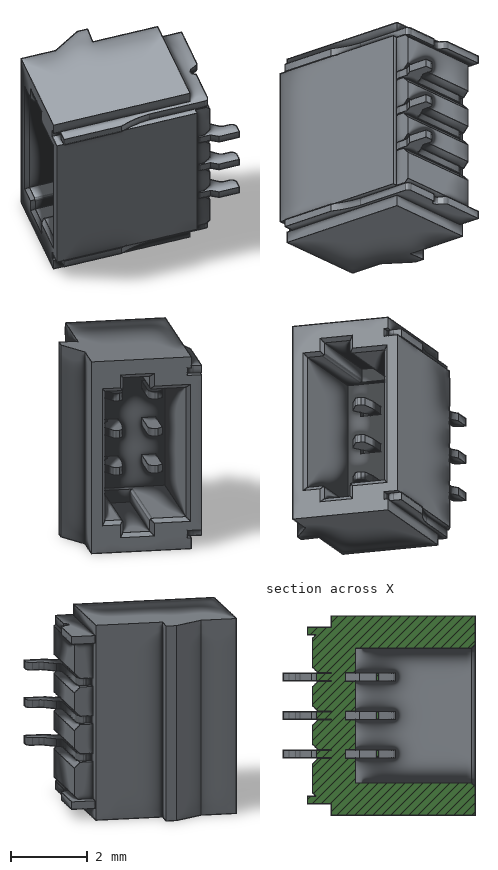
import cadquery as cq

HEIGHT = 5.2
MID_Z = HEIGHT / 2
BODY_LEFT = 0.5
BODY_RIGHT = 3.14
BODY_DEPTH = 3.755
OVERALL_RIGHT = 3.45

LATCH_TIP_FRONT = 1.715
LATCH_TIP_REAR = 1.995
LATCH_ROOT_FRONT = 0.95
LATCH_ROOT_REAR = 1.97

CORE_HEIGHT = 4.2
PAD_RIGHT = 3.415
PAD_DEPTH = 3.86
REAR_LEFT = 0.865
REAR_RIGHT = 3.285
REAR_DEPTH = 4.25
REAR_END_CHAMFER = 0.095

CAVITY_LEFT = 0.875
CAVITY_RIGHT = 3.015
CAVITY_HEIGHT = 3.505
KEY_LEFT = 1.345
KEY_RIGHT = 2.06
KEY_HEIGHT = 4.2
CAVITY_DEPTH = 3.12
KEY_DEPTH = 2.91
KEY_CORNER_RADIUS = 0.06
BEVEL = 0.105
BEVEL_LEFT = 0.085

SHEET = 0.205
PLATE_LEFT = 0.605
PLATE_INNER = 3.035
PLATE_FRONT = 0.185
PLATE_FRONT_RADIUS = 0.185
PLATE_WAIST = 3.25
PLATE_SHOULDER = 4.235
PLATE_REAR = 4.38
PLATE_CORNER_RADIUS = 0.105
DIP_CENTRE = 2.095
DIP_RADIUS = 0.115
RAMP_RADIUS = 0.105
RAMP_TOP = 1.88

CONTACT_PITCH = 1.005
CONTACT_CLEARANCE = 0.01
SLOT_WIDTH = SHEET + 2 * CONTACT_CLEARANCE
GROOVE_DEPTH = 0.15
SPINE_LEFT = 0.965
SPINE_REAR = 4.14
SPINE_CORNER_RADIUS = 0.155
BLADE_TIP = 2.08
BEAM_LEFT = 1.215
BEAM_RIGHT = 1.78
POST_LEFT = 2.4
POST_RIGHT = 2.775
POST_RADIUS = 0.165
BEAM_EDGE_RADIUS = 0.085
SOCKET_DEPTH = 0.26
SOCKET_FLOOR = CAVITY_DEPTH + SOCKET_DEPTH
TAIL_LEFT = 3.115
TAIL_END = 5.01
TAIL_RADIUS = 0.155
TAIL_BEND_RADIUS = 0.2
TAIL_ROOT_RADIUS = 0.135
TAIL_NECK = 3.325

CONTACT_LEVELS = [MID_Z + row * CONTACT_PITCH for row in (-1, 0, 1)]
PLATE_LEVELS = [MID_Z + side * (CORE_HEIGHT + SHEET) / 2 for side in (-1, 1)]


def block(x0, x1, y0, y1, height, level=MID_Z):
    """Box between two X and two Y positions, centred on a level in Z."""
    centre = ((x0 + x1) / 2, (y0 + y1) / 2, level)
    return cq.Workplane("XY").box(x1 - x0, y1 - y0, height).translate(centre)


def sheet(profile, level):
    """Centre a sheet-metal outline, drawn in the XY plane, on a level in Z."""
    return profile.extrude(SHEET).translate((0, 0, level - SHEET / 2))


def mouth_section(left, right, height, key_left, key_right, key_height):
    """Corner points in X and Z of the cavity outline with its two keyways."""
    top = MID_Z + height / 2
    key_top = MID_Z + key_height / 2
    upper = [(left, top), (key_left, top), (key_left, key_top),
             (key_right, key_top), (key_right, top), (right, top)]
    lower = [(x, HEIGHT - z) for x, z in reversed(upper)]
    return upper + lower


def make_body():
    body = block(BODY_LEFT, BODY_RIGHT, 0, BODY_DEPTH, HEIGHT)
    latch = (
        cq.Workplane("XY")
        .moveTo(BODY_LEFT, LATCH_ROOT_FRONT)
        .lineTo(0, LATCH_TIP_FRONT)
        .lineTo(0, LATCH_TIP_REAR)
        .lineTo(BODY_LEFT, LATCH_ROOT_REAR)
        .close()
        .extrude(HEIGHT)
    )
    pad = block(PLATE_INNER, PAD_RIGHT, 0, PAD_DEPTH, CORE_HEIGHT)
    return body.union(latch).union(pad).union(make_rear_wall())


def make_rear_wall():
    """Rear wall, notched at each contact by a slot with a flared mouth."""
    wall = block(REAR_LEFT, REAR_RIGHT, CAVITY_DEPTH, REAR_DEPTH, CORE_HEIGHT)
    wall = wall.faces(">Y").edges("|X").chamfer(REAR_END_CHAMFER)
    half_slot = SLOT_WIDTH / 2
    half_mouth = half_slot + GROOVE_DEPTH
    notch = (
        cq.Workplane("YZ")
        .polyline([
            (BODY_DEPTH, -half_slot),
            (REAR_DEPTH - GROOVE_DEPTH, -half_slot),
            (REAR_DEPTH, -half_mouth),
            (REAR_DEPTH, half_mouth),
            (REAR_DEPTH - GROOVE_DEPTH, half_slot),
            (BODY_DEPTH, half_slot),
        ])
        .close()
        .extrude(OVERALL_RIGHT)
    )
    for level in CONTACT_LEVELS:
        wall = wall.cut(notch.translate((0, 0, level)))
    return wall


def make_cavity():
    main = block(CAVITY_LEFT, CAVITY_RIGHT, 0, CAVITY_DEPTH, CAVITY_HEIGHT)
    keys = block(KEY_LEFT, KEY_RIGHT, 0, KEY_DEPTH, KEY_HEIGHT)
    corners = cq.selectors.BoxSelector(
        (KEY_LEFT - BEVEL, 0, MID_Z - CAVITY_HEIGHT / 2 - BEVEL),
        (KEY_RIGHT + BEVEL, KEY_DEPTH, MID_Z + CAVITY_HEIGHT / 2 + BEVEL),
    )
    cavity = main.union(keys).edges("|Y").edges(corners).fillet(KEY_CORNER_RADIUS)
    inner = mouth_section(CAVITY_LEFT, CAVITY_RIGHT, CAVITY_HEIGHT, KEY_LEFT, KEY_RIGHT, KEY_HEIGHT)
    outer = mouth_section(
        CAVITY_LEFT - BEVEL_LEFT, CAVITY_RIGHT + BEVEL, CAVITY_HEIGHT + 2 * BEVEL,
        KEY_LEFT - BEVEL_LEFT, KEY_RIGHT + BEVEL, KEY_HEIGHT + 2 * BEVEL,
    )
    bevel = (
        cq.Workplane("XZ")
        .polyline(outer)
        .close()
        .workplane(offset=-BEVEL)
        .polyline(inner)
        .close()
        .loft(ruled=True)
    )
    return cavity.union(bevel)


def make_plate(level):
    """L-shaped retention plate: a side leg and a rear arm with a dip in its edge."""
    leg_bend = 1.77
    waist_start = 2.6
    bend_middle = (3.325, 2.13)
    ramp_bottom = (2.0, 4.165)
    profile = (
        cq.Workplane("XY")
        .moveTo(OVERALL_RIGHT, PLATE_FRONT)
        .lineTo(OVERALL_RIGHT, leg_bend)
        .threePointArc(bend_middle, (PLATE_WAIST, waist_start))
        .lineTo(PLATE_WAIST, PLATE_SHOULDER - PLATE_CORNER_RADIUS)
        .radiusArc((PLATE_WAIST - PLATE_CORNER_RADIUS, PLATE_SHOULDER), -PLATE_CORNER_RADIUS)
        .lineTo(DIP_CENTRE + DIP_RADIUS, PLATE_SHOULDER)
        .threePointArc((DIP_CENTRE, PLATE_SHOULDER - DIP_RADIUS), ramp_bottom)
        .lineTo(RAMP_TOP, PLATE_REAR)
        .lineTo(PLATE_LEFT, PLATE_REAR)
        .lineTo(PLATE_LEFT, CAVITY_DEPTH)
        .lineTo(PLATE_INNER, CAVITY_DEPTH)
        .lineTo(PLATE_INNER, PLATE_FRONT + PLATE_FRONT_RADIUS)
        .radiusArc((PLATE_INNER + PLATE_FRONT_RADIUS, PLATE_FRONT), -PLATE_FRONT_RADIUS)
        .close()
    )
    plate = sheet(profile, level)
    ramp_edge = cq.selectors.NearestToPointSelector((RAMP_TOP, PLATE_REAR, level))
    return plate.edges("|Z").edges(ramp_edge).fillet(RAMP_RADIUS)


def make_contact(level):
    """Contact with a spring beam, a fixed post, a rear spine and a solder tail."""
    spine_knee = 3.91
    spine_foot = 1.145
    spine = sheet(
        cq.Workplane("XY")
        .moveTo(spine_foot, SOCKET_FLOOR)
        .lineTo(SPINE_LEFT, spine_knee)
        .lineTo(SPINE_LEFT, SPINE_REAR - SPINE_CORNER_RADIUS)
        .radiusArc((SPINE_LEFT + SPINE_CORNER_RADIUS, SPINE_REAR), SPINE_CORNER_RADIUS)
        .lineTo(POST_RIGHT, SPINE_REAR)
        .lineTo(POST_RIGHT, SOCKET_FLOOR)
        .close(),
        level,
    )

    post_flat_end = 2.645
    post_bevel_length = 0.105
    post = sheet(
        cq.Workplane("XY")
        .moveTo(POST_LEFT, SOCKET_FLOOR)
        .lineTo(POST_LEFT, BLADE_TIP + POST_RADIUS)
        .radiusArc((POST_LEFT + POST_RADIUS, BLADE_TIP), -POST_RADIUS)
        .lineTo(post_flat_end, BLADE_TIP)
        .lineTo(POST_RIGHT, BLADE_TIP + post_bevel_length)
        .lineTo(POST_RIGHT, SOCKET_FLOOR)
        .close(),
        level,
    )

    beam_waist = 1.475
    nose_length = 0.47
    bump_length = 0.935
    beam_flat_end = 1.62
    beam_flank_start = 1.71
    beam_bevel_length = 0.05
    beam = sheet(
        cq.Workplane("XY")
        .moveTo(beam_waist, SOCKET_FLOOR)
        .lineTo(beam_waist, BLADE_TIP + bump_length)
        .lineTo(BEAM_LEFT, BLADE_TIP + nose_length)
        .lineTo(beam_waist, BLADE_TIP)
        .lineTo(beam_flat_end, BLADE_TIP)
        .lineTo(beam_flank_start, BLADE_TIP + beam_bevel_length)
        .lineTo(BEAM_RIGHT, BLADE_TIP + nose_length)
        .lineTo(BEAM_RIGHT, SOCKET_FLOOR)
        .close(),
        level,
    )
    margin = 0.05
    beam_bump = cq.selectors.BoxSelector(
        (BEAM_LEFT - margin, BLADE_TIP - margin, level - SHEET),
        (beam_waist + margin, BLADE_TIP + nose_length + margin, level + SHEET),
    )
    beam = beam.edges("|Z").edges(beam_bump).fillet(BEAM_EDGE_RADIUS)

    slope_foot = (2.845, SPINE_REAR + TAIL_ROOT_RADIUS)
    slope_head = 4.62
    pad_front = 4.445
    neck_rear = 4.255
    neck_front = 3.98
    tail = sheet(
        cq.Workplane("XY")
        .moveTo(slope_foot[0] - TAIL_ROOT_RADIUS, SOCKET_FLOOR)
        .lineTo(slope_foot[0] - TAIL_ROOT_RADIUS, SPINE_REAR)
        .radiusArc(slope_foot, -TAIL_ROOT_RADIUS)
        .lineTo(TAIL_LEFT, slope_head)
        .lineTo(TAIL_LEFT, TAIL_END - TAIL_RADIUS)
        .radiusArc((TAIL_LEFT + TAIL_RADIUS, TAIL_END), TAIL_RADIUS)
        .lineTo(OVERALL_RIGHT, TAIL_END)
        .lineTo(OVERALL_RIGHT, pad_front)
        .lineTo(TAIL_NECK, neck_rear)
        .lineTo(TAIL_NECK, neck_front)
        .lineTo(REAR_RIGHT, PAD_DEPTH)
        .lineTo(REAR_RIGHT, SOCKET_FLOOR)
        .close(),
        level,
    )
    tail_bend = cq.selectors.NearestToPointSelector((TAIL_LEFT, slope_head, level))
    tail = tail.edges("|Z").edges(tail_bend).fillet(TAIL_BEND_RADIUS)
    return spine.union(post).union(beam).union(tail)


def contact_sockets(level):
    """Shallow clearance pockets in the cavity floor around the two blades."""
    beam = block(BEAM_LEFT, BEAM_RIGHT, CAVITY_DEPTH, SOCKET_FLOOR, SLOT_WIDTH, level)
    post = block(POST_LEFT, POST_RIGHT, CAVITY_DEPTH, SOCKET_FLOOR, SLOT_WIDTH, level)
    return beam.union(post)


result = make_body().cut(make_cavity())

for plate_level in PLATE_LEVELS:
    plate_slot = block(PLATE_INNER, PAD_RIGHT, 0, BODY_DEPTH, SHEET, plate_level)
    result = result.cut(plate_slot).union(make_plate(plate_level))

for contact_level in CONTACT_LEVELS:
    result = result.cut(contact_sockets(contact_level)).union(make_contact(contact_level))